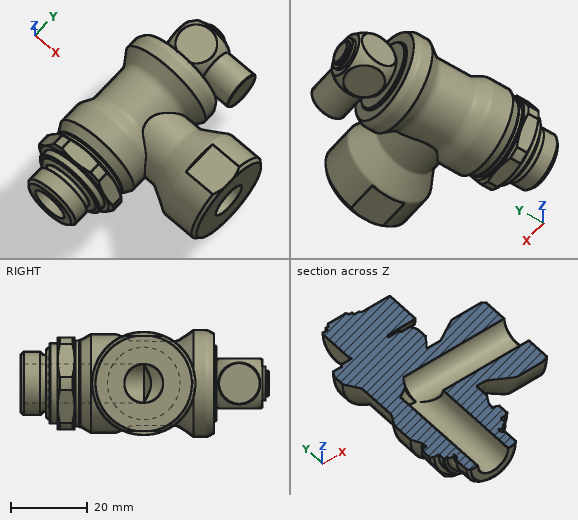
import cadquery as cq
import math

total_length = 64.95
overall_width = 48.0
rim_diameter = 28.0

bore_radius = 5.05
spigot_radius = 8.3
spigot_chamfer = 0.85
spigot_shoulder_y = 5.1
neck_radius = 7.5
neck_y = 6.0
neck_blend = 0.3
seal_center_radius = 8.4
seal_section_radius = 1.05
seal_front_y = 6.6
collar_radius = 10.5
collar_front_y = 7.55
collar_chamfer = 0.25

hex_front_y = 9.7
hex_back_y = 14.15
hex_sides = 6
hex_across_flats = 24.1
hex_corner_radius = 13.05
hex_face_radius = 11.95
hex_chamfer_length = 0.6

back_ring_radius = 11.3
back_ring_chamfer = 0.25
back_ring_y = 15.3
shoulder_foot_chamfer_length = 0.3
shoulder_foot_radius = 11.5
shoulder_foot_y = 16.0
shoulder_foot_blend = 1.0
belly_radius = 12.9
belly_front_y = 18.45
belly_back_y = 25.15
waist_radius = 11.05
waist_front_y = 28.8
waist_back_y = 41.0
waist_blend = 3.05
rim_radius = rim_diameter / 2
rim_front_y = 45.3
rim_back_y = 48.85
rim_blend = 2.2
rim_face_radius = 13.0
cap_y = 50.6
cap_step_radius = 9.95
cap_step_height = 0.65
cap_step_chamfer = 0.3

socket_y = 32.2
socket_end_x = overall_width - rim_radius
pipe_radius = 9.5
pipe_end_x = 16.05
socket_radius = 13.5
socket_start_x = 23.05
socket_blend = 1.8
flats_start_x = 23.6
flats_half_width = 12.5
socket_chamfer_length = 1.0
socket_chamfer_depth = 0.9

head_y = 57.2
head_half_width = 6.55
outlet_radius = 5.45
outlet_end_x = 16.0
outlet_chamfer = 0.1
head_collar_radius = 6.2
head_collar_length = 0.6
head_neck_length = 0.5
boss_radius = 4.5
boss_back_y = 64.1
button_radius = 3.45
button_chamfer = 0.45

drill_point_angle = 118.0


def turned(corners):
    """Revolve (station along Y, radius, optional rounding) corners about the Y axis."""
    points = [cq.Vector(corner[1], corner[0]) for corner in corners]
    profile = cq.Workplane("XY").moveTo(0, points[0].y).lineTo(points[0].x, points[0].y)
    for index in range(1, len(corners)):
        point = points[index]
        if len(corners[index]) == 2:
            profile = profile.lineTo(point.x, point.y)
            continue
        rounding = corners[index][2]
        to_previous = (points[index - 1] - point).normalized()
        to_next = (points[index + 1] - point).normalized()
        half_angle = to_previous.getAngle(to_next) / 2
        setback = rounding / math.tan(half_angle)
        arc_start = point + to_previous * setback
        arc_end = point + to_next * setback
        bisector = (to_previous + to_next).normalized()
        arc_middle = point + bisector * (rounding / math.sin(half_angle) - rounding)
        profile = profile.lineTo(arc_start.x, arc_start.y)
        profile = profile.threePointArc((arc_middle.x, arc_middle.y), (arc_end.x, arc_end.y))
    if points[-1].x > 0:
        profile = profile.lineTo(0, points[-1].y)
    return profile.close().revolve(360, (0, 0), (0, 1))


def along_x(solid, y):
    """Turn a solid built along +Y so that it lies along +X at the given Y."""
    return solid.rotate((0, 0, 0), (0, 0, 1), -90).translate((0, y, 0))


def make_spigot():
    return turned([
        (0, spigot_radius - spigot_chamfer),
        (spigot_chamfer, spigot_radius),
        (spigot_shoulder_y, spigot_radius),
        (neck_y, neck_radius, neck_blend),
        (collar_front_y, neck_radius),
        (collar_front_y, collar_radius - collar_chamfer),
        (collar_front_y + collar_chamfer, collar_radius),
        (hex_front_y, collar_radius),
    ])


def make_sealing_ring():
    return (
        cq.Workplane("XY")
        .center(seal_center_radius, seal_front_y + seal_section_radius)
        .circle(seal_section_radius)
        .revolve(360, (-seal_center_radius, 0), (-seal_center_radius, 1))
    )


def make_hex_nut():
    blank = turned([
        (hex_front_y, hex_face_radius),
        (hex_front_y + hex_chamfer_length, hex_corner_radius),
        (hex_back_y - hex_chamfer_length, hex_corner_radius),
        (hex_back_y, hex_face_radius),
    ])
    across_corners = hex_across_flats / math.cos(math.pi / hex_sides)
    prism = (
        cq.Workplane("XZ", origin=(0, hex_front_y, 0))
        .polygon(hex_sides, across_corners)
        .extrude(hex_front_y - hex_back_y)
    )
    return blank.intersect(prism)


def make_body():
    cap_step_y = cap_y + cap_step_height
    return turned([
        (hex_back_y, back_ring_radius - back_ring_chamfer),
        (hex_back_y + back_ring_chamfer, back_ring_radius),
        (back_ring_y, back_ring_radius),
        (back_ring_y + shoulder_foot_chamfer_length, shoulder_foot_radius),
        (shoulder_foot_y, shoulder_foot_radius, shoulder_foot_blend),
        (belly_front_y, belly_radius),
        (belly_back_y, belly_radius, waist_blend),
        (waist_front_y, waist_radius, waist_blend),
        (waist_back_y, waist_radius, waist_blend),
        (rim_front_y, rim_radius),
        (rim_back_y, rim_radius, rim_blend),
        (cap_y, rim_face_radius),
        (cap_y, cap_step_radius),
        (cap_step_y - cap_step_chamfer, cap_step_radius),
        (cap_step_y, cap_step_radius - cap_step_chamfer),
    ])


def make_socket():
    socket = along_x(turned([
        (0, pipe_radius),
        (pipe_end_x, pipe_radius, socket_blend),
        (socket_start_x, socket_radius, socket_blend),
        (socket_end_x - socket_chamfer_length, socket_radius),
        (socket_end_x, socket_radius - socket_chamfer_depth),
    ]), socket_y)
    flats_length = socket_end_x - flats_start_x
    for side in (1, -1):
        waste = (
            cq.Workplane("XY")
            .box(flats_length, 2 * socket_radius, socket_radius, centered=(False, True, True))
            .translate((flats_start_x, socket_y, side * (flats_half_width + socket_radius / 2)))
        )
        socket = socket.cut(waste)
    return socket


def make_head():
    ball = cq.Workplane("XY").sphere(math.hypot(head_half_width, outlet_radius))
    block = cq.Workplane("XY").box(2 * head_half_width, 2 * outlet_radius, 2 * head_half_width)
    cube = ball.intersect(block).translate((0, head_y, 0))
    head_front_y = head_y - outlet_radius
    head_back_y = head_y + outlet_radius
    collar_y = head_back_y + head_collar_length
    neck = turned([
        (cap_y, head_collar_radius),
        (head_front_y - head_neck_length, head_collar_radius),
        (head_front_y, head_half_width),
    ])
    button = turned([
        (head_back_y, head_half_width),
        (collar_y, head_collar_radius),
        (collar_y, boss_radius),
        (boss_back_y, boss_radius),
        (boss_back_y, button_radius),
        (total_length - button_chamfer, button_radius),
        (total_length, button_radius - button_chamfer),
    ])
    outlet = along_x(turned([
        (0, outlet_radius),
        (outlet_end_x - outlet_chamfer, outlet_radius),
        (outlet_end_x, outlet_radius - outlet_chamfer),
    ]), head_y)
    return cube.union(neck).union(button).union(outlet)


def drilled_bore(depth):
    """Bore from Y = 0 to the given depth, ending in a drill point."""
    point_length = bore_radius / math.tan(math.radians(drill_point_angle / 2))
    return turned([(0, bore_radius), (depth, bore_radius), (depth + point_length, 0)])


fitting = make_spigot().union(make_sealing_ring()).union(make_hex_nut()).union(make_body())
fitting = fitting.union(make_socket()).union(make_head())

body_bore = drilled_bore(socket_y)
socket_bore = along_x(drilled_bore(socket_end_x), 0).mirror("YZ").translate((socket_end_x, socket_y, 0))
result = fitting.cut(body_bore).cut(socket_bore)